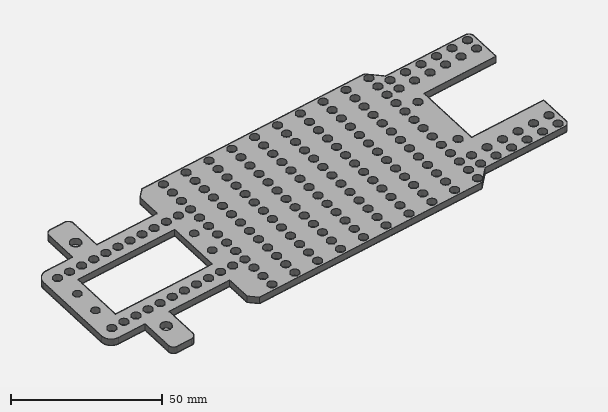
import cadquery as cq

length = 185.0
thickness = 3.0
length_in_pitches = 37
pitch = length / length_in_pitches
front_y = length / 2
rear_y = -length / 2

tab_span = 14 * pitch
body_width = 13 * pitch
arms_width = 11 * pitch
tail_width = 8 * pitch

body_rear_y = rear_y + 10 * pitch
body_front_y = rear_y + 30 * pitch
tab_y = rear_y + 4 * pitch
tab_depth = 2 * pitch

shoulder_chamfer = (body_width - arms_width) / 2
body_rear_chamfer = 3.0
small_corner_radius = 2.0
tail_corner_radius = 4.0

notch_width = 26.3
notch_depth = 29.8
window_width = 20.7
window_length = 8 * pitch

grid_hole_diameter = 3.3
mount_hole_diameter = 3.1
tab_hole_diameter = 4.0

body_columns = 13
body_rows = 10
body_rows_length = 17 * pitch
body_last_row_y = rear_y + 12 * pitch

arm_rows = 6
arm_rows_length = 32.0
arm_first_row_y = front_y - 3.0
arm_inner_column = 4 * pitch
arm_outer_column = 5 * pitch

tail_rows = 11
tail_column = 3 * pitch

notch_hole_x = 11.1
notch_hole_y = 58.6
mount_hole_x = pitch
mount_hole_front_y = -38.5
mount_hole_rear_y = -86.8
tab_hole_x = 5 * pitch


def slab(width, y_min, y_max):
    """Full-thickness block centred across X between two Y stations."""
    return cq.Workplane("XY").box(width, y_max - y_min, thickness).translate((0, (y_min + y_max) / 2, 0))


def mirrored(x, y):
    """The pair of points at +x and -x."""
    return [(x, y), (-x, y)]


def drill(plate, points, diameter):
    """Cut through holes at the given points."""
    holes = (
        cq.Workplane("XY", origin=(0, 0, -thickness / 2))
        .pushPoints(points)
        .circle(diameter / 2)
        .extrude(thickness)
    )
    return plate.cut(holes)


def make_blank():
    """Body, arms, tail and side tabs, each with its own corner treatment."""
    body = slab(body_width, body_rear_y, body_front_y)
    body = body.edges("|Z and >Y").chamfer(shoulder_chamfer)
    body = body.edges("|Z and <Y").chamfer(body_rear_chamfer)
    arms = slab(arms_width, body_rear_y, front_y).edges("|Z and >Y").fillet(small_corner_radius)
    tail = slab(tail_width, rear_y, body_front_y).edges("|Z and <Y").fillet(tail_corner_radius)
    tabs = slab(tab_span, tab_y - tab_depth / 2, tab_y + tab_depth / 2)
    tabs = tabs.edges("|Z").fillet(small_corner_radius)
    return body.union(arms).union(tail).union(tabs).clean()


def cut_openings(plate):
    """Open notch between the arms and the rectangular window in the tail."""
    notch = slab(notch_width, front_y - notch_depth, front_y)
    window = slab(window_width, body_rear_y - window_length, body_rear_y)
    return plate.cut(notch).cut(window)


def body_holes():
    row_step = body_rows_length / (body_rows - 1)
    return [
        ((column - (body_columns - 1) / 2) * pitch, body_last_row_y + row * row_step)
        for row in range(body_rows)
        for column in range(body_columns)
    ]


def arm_holes():
    row_step = arm_rows_length / (arm_rows - 1)
    points = []
    for row in range(arm_rows):
        y = arm_first_row_y - row * row_step
        points += mirrored(arm_inner_column, y) + mirrored(arm_outer_column, y)
    return points


def tail_holes():
    points = []
    for row in range(1, tail_rows + 1):
        points += mirrored(tail_column, rear_y + row * pitch)
    return points


result = cut_openings(make_blank())
grid_holes = body_holes() + arm_holes() + tail_holes() + mirrored(notch_hole_x, notch_hole_y)
mount_holes = mirrored(mount_hole_x, mount_hole_front_y) + mirrored(mount_hole_x, mount_hole_rear_y)
result = drill(result, grid_holes, grid_hole_diameter)
result = drill(result, mount_holes, mount_hole_diameter)
result = drill(result, mirrored(tab_hole_x, tab_y), tab_hole_diameter)